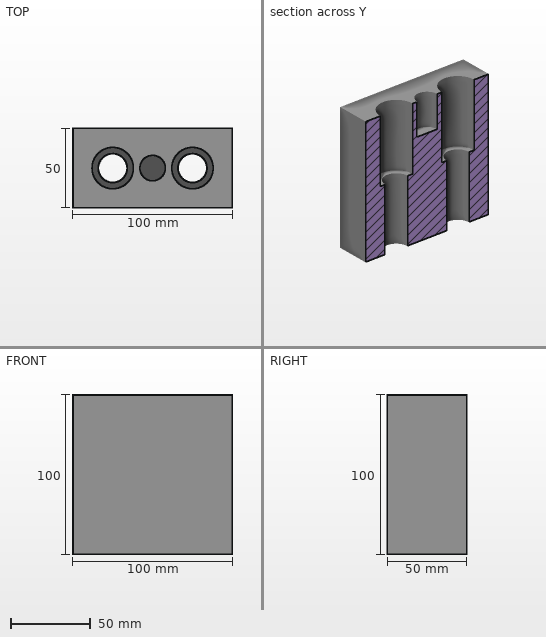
import cadquery as cq

length = 100.0
width = length / 2
height = length

bore_diameter = 18.0
counterbore_diameter = 26.0
counterbore_depth = height / 2
hole_spacing = length / 2

middle_hole_diameter = 16.0
middle_hole_depth = height / 4

block = cq.Workplane("XY").box(length, width, height, centered=(True, True, False))

stepped_hole_centres = [(side * hole_spacing / 2, 0) for side in (-1, 1)]
drilled_block = (
    block.faces(">Z")
    .workplane()
    .pushPoints(stepped_hole_centres)
    .cboreHole(bore_diameter, counterbore_diameter, counterbore_depth)
)

result = drilled_block.faces(">Z").workplane().hole(middle_hole_diameter, middle_hole_depth)